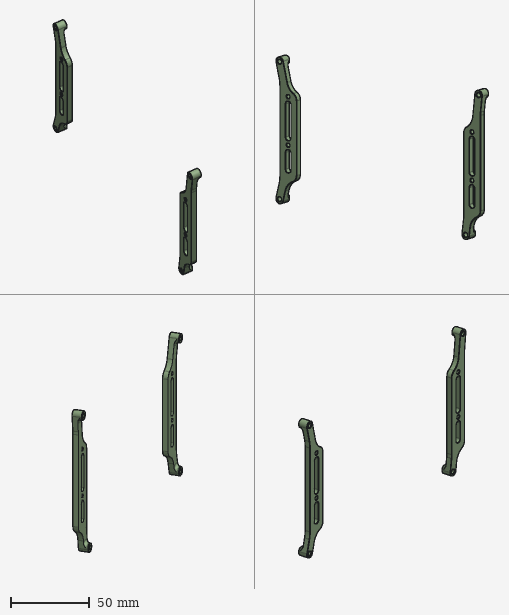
import cadquery as cq
import math

overall_length = 166.6
overall_height = 99.1
overall_depth = 7.0

boss_diameter = 6.2
boss_radius = boss_diameter / 2
boss_hole_diameter = 2.8
boss_fillet = 2.0

plate_thickness = 4.0
plate_width = 13.8
half_width = plate_width / 2
screw_hole_diameter = 2.3
slot_width = 4.0
lower_hole_z = 39.5
hole_spacing = 31.7
upper_hole_z = lower_hole_z + hole_spacing
slot_margin = 3.0
short_slot_bottom_z = 21.5
long_slot_ends = (lower_hole_z + slot_margin, upper_hole_z - slot_margin)
short_slot_ends = (short_slot_bottom_z, lower_hole_z - slot_margin)

edge_chamfer = 0.3
hole_chamfer = 0.4

join_tolerance = 0.002

bend_radius = 20.0
neck_radius = 10.0
shoulder_radius = 5.0
upper_shoulder_z = 69.5
lower_shoulder_z = 20.7

left_plate_edge_x = -80.1
left_plate_x = left_plate_edge_x + half_width
left_boss_x = -overall_length / 2 + boss_radius
left_top_boss_z = 93.0
left_top_boss = (left_boss_x, left_top_boss_z)
left_bottom_boss = (left_boss_x, boss_radius)
left_upper_bend_z = 79.6
left_lower_bend_z = 15.7

right_plate_edge_x = 68.1
right_plate_x = right_plate_edge_x + half_width
right_top_boss = (overall_length / 2 - boss_radius, overall_height - boss_radius)
right_bottom_boss_x = 69.8
right_bottom_boss = (right_bottom_boss_x, boss_radius)
right_upper_bend_z = 84.1
right_lower_bend_z = 14.3

right_shoulder = 1
left_shoulder = -1
top_arm = 1
bottom_arm = -1


def arm_outline(plate_x, boss, bend_z, shoulder_z, shoulder_side, end_side):
    """Outline of one arm, clockwise, as stretches of points in X and Z.

    A stretch of three points is an arc (start, middle, end), one of two points is a straight line.
    `shoulder_side` and `end_side` are signs along X and Z that say where the arm sits. The shape
    is worked out as for a top arm with its shoulder on the right, then mirrored into place.
    """
    boss_centre = cq.Vector(shoulder_side * (boss[0] - plate_x), end_side * boss[1])
    bend_corner = cq.Vector(-half_width, end_side * bend_z)
    shoulder_centre = cq.Vector(half_width - shoulder_radius, end_side * shoulder_z)
    up = cq.Vector(0, 1)
    right = cq.Vector(1, 0)

    to_boss = boss_centre - bend_corner
    angle = math.atan2(to_boss.y, to_boss.x) + math.asin(boss_radius / to_boss.Length)
    along = cq.Vector(math.cos(angle), math.sin(angle))
    across = cq.Vector(along.y, -along.x)

    half_turn = up.getAngle(along) / 2
    setback = bend_radius * math.tan(half_turn)
    bend_depth = bend_radius / math.cos(half_turn) - bend_radius
    bend = (
        bend_corner - up * setback,
        bend_corner + (along - up).normalized() * bend_depth,
        bend_corner + along * setback,
    )

    end_line = (boss_centre - across * boss_radius, boss_centre + across * boss_radius)

    centre_distance = neck_radius + shoulder_radius
    offset = boss_centre.dot(across) + boss_radius + neck_radius - shoulder_centre.dot(across)
    rise = math.sqrt(centre_distance**2 - offset**2)
    neck_centre = shoulder_centre + across * offset + along * rise
    to_neck = (neck_centre - shoulder_centre).normalized()
    inflection = shoulder_centre + to_neck * shoulder_radius
    neck = (
        neck_centre - across * neck_radius,
        neck_centre - (across + to_neck).normalized() * neck_radius,
        inflection,
    )
    shoulder = (
        inflection,
        shoulder_centre + (to_neck + right).normalized() * shoulder_radius,
        shoulder_centre + right * shoulder_radius,
    )

    outline = [
        [(plate_x + shoulder_side * point.x, end_side * point.y) for point in stretch]
        for stretch in (bend, end_line, neck, shoulder)
    ]
    if shoulder_side != end_side:
        outline = [stretch[::-1] for stretch in reversed(outline)]
    return outline


def prism(sketch, depth):
    """Extrude an XZ sketch from the front face toward +Y; the sketch normal points toward -Y."""
    return sketch.extrude(-depth)


def outline_prism(outline, depth):
    """Prism whose outline joins the stretches, in order, with straight lines where they do not meet."""
    sketch = cq.Workplane("XZ").moveTo(*outline[0][0])
    previous_end = outline[0][0]
    for stretch in outline:
        if math.dist(previous_end, stretch[0]) > join_tolerance:
            sketch = sketch.lineTo(*stretch[0])
        if len(stretch) == 3:
            sketch = sketch.threePointArc(*stretch[1:])
        else:
            sketch = sketch.lineTo(*stretch[1])
        previous_end = stretch[-1]
    return prism(sketch.close(), depth)


def cylinder(centre, diameter, depth):
    return prism(cq.Workplane("XZ").center(*centre).circle(diameter / 2), depth)


def slot(plate_x, ends):
    middle = (ends[0] + ends[1]) / 2
    sketch = cq.Workplane("XZ").center(plate_x, middle).slot2D(ends[1] - ends[0], slot_width, 90)
    return prism(sketch, plate_thickness)


def boss_flare(boss):
    """Concave fillet ring, revolved about the boss axis, from the plate's back up the boss wall."""
    foot_radius = boss_radius + boss_fillet
    top = plate_thickness + boss_fillet
    arc_gap = boss_fillet * (1 - math.sqrt(0.5))
    profile = (
        cq.Workplane("XY")
        .lineTo(foot_radius, 0)
        .lineTo(foot_radius, plate_thickness)
        .threePointArc((boss_radius + arc_gap, plate_thickness + arc_gap), (boss_radius, top))
        .lineTo(0, top)
        .close()
    )
    return profile.revolve(360, (0, 0, 0), (0, 1, 0)).translate((boss[0], 0, boss[1]))


def round_hole(centre, diameter, depth):
    """Cutter for a through hole, countersunk at the front face."""
    radius = diameter / 2
    mouth_centre = cq.Vector(centre[0], 0, centre[1])
    mouth = cq.Solid.makeCone(radius + hole_chamfer, radius, hole_chamfer, mouth_centre, cq.Vector(0, 1, 0))
    return cylinder(centre, diameter, depth).union(cq.Workplane(mouth))


def bracket(plate_x, bosses, outline):
    body = outline_prism(outline, plate_thickness)
    arm_space = outline_prism(outline, overall_depth)
    for boss in bosses:
        body = body.union(boss_flare(boss).intersect(arm_space))
        body = body.union(cylinder(boss, boss_diameter, overall_depth))
    for ends in (long_slot_ends, short_slot_ends):
        body = body.cut(slot(plate_x, ends))

    body = body.faces("<Y").edges().chamfer(edge_chamfer)
    body = body.faces(">Y").edges().chamfer(edge_chamfer)

    for boss in bosses:
        body = body.cut(round_hole(boss, boss_hole_diameter, overall_depth))
    for hole_z in (lower_hole_z, upper_hole_z):
        body = body.cut(round_hole((plate_x, hole_z), screw_hole_diameter, plate_thickness))
    return body


left_top_arm = arm_outline(
    left_plate_x, left_top_boss, left_upper_bend_z, upper_shoulder_z, right_shoulder, top_arm
)
left_bottom_arm = arm_outline(
    left_plate_x, left_bottom_boss, left_lower_bend_z, lower_shoulder_z, right_shoulder, bottom_arm
)
left_bracket = bracket(left_plate_x, (left_top_boss, left_bottom_boss), left_top_arm + left_bottom_arm)

right_top_arm = arm_outline(
    right_plate_x, right_top_boss, right_upper_bend_z, upper_shoulder_z, left_shoulder, top_arm
)
right_bottom_arm = arm_outline(
    right_plate_x, right_bottom_boss, right_lower_bend_z, lower_shoulder_z, right_shoulder, bottom_arm
)
right_bracket = bracket(right_plate_x, (right_top_boss, right_bottom_boss), right_top_arm + right_bottom_arm)

result = cq.Compound.makeCompound([left_bracket.val(), right_bracket.val()])